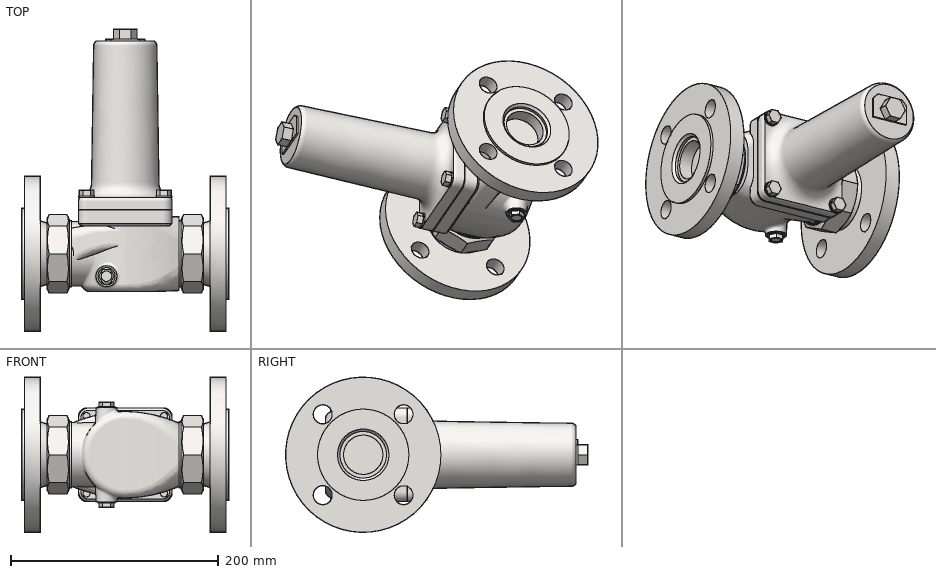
import cadquery as cq
import math


overall_length = 200.0
half_length = overall_length / 2
raised_face_thickness = 2.5
raised_face_diameter = 88.0
flange_diameter = 150.0
flange_thickness = 15.5
flange_outer_x = half_length - raised_face_thickness
flange_inner_x = flange_outer_x - flange_thickness
bolt_hole_diameter = 18.0
bolt_circle_diameter = 110.3
bolt_hole_count = 4
neck_radius_at_flange = 31.8
neck_radius_at_nut = 29.8
nut_outer_x = 75.3
nut_inner_x = 53.7
nut_sides = 8
nut_corner_radius = 38.0
nut_outer_chamfer = 1.8
nut_inner_chamfer = 2.5
nut_outer_end_radius = 34.5
nut_inner_end_radius = 32.7
bore_diameter = 38.0
bore_depth = 19.0
bore_step_diameter = 45.0
bore_step_depth = 2.5
bore_mouth_diameter = 49.5

pipe_radius = 31.2
collar_radius = 32.0
collar_width = 1.8
passage_end_x = nut_inner_x - collar_width
chamber_radius = 41.7
body_bottom_y = -36.5
chamber_edge_fillet = 7.3
chamber_root_fillet = 3.0
shoulder_sections = [
    (0, 1.5, 28.0, chamber_radius, 7.3),
    (-26.3, 0.5, 28.0, 38.5, 7.3),
    (-passage_end_x, -14.5, 24.8, 30.3, 11.7),
]
outlet_sections = [
    (0, body_bottom_y, 36.2, chamber_radius, chamber_edge_fillet),
    (26.3, body_bottom_y, 36.2, 38.8, 10.2),
    (passage_end_x, -35.5, 36.0, 30.5, 23.3),
]

plate_width = 90.5
plate_bottom_y = 26.8
plate_joint_y = 42.5
plate_top_y = 54.3
lower_corner_radius = 9.0
upper_corner_radius = 8.5
lower_plate_chamfer = 2.5
upper_chamfer_height = 3.0
upper_chamfer_inset = 1.0
joint_groove_width = 0.5
joint_groove_depth = 0.5

bolt_offset = 37.3
bolt_head_diameter = 14.3
bolt_head_sides = 6
bolt_head_height = 5.8
bolt_washer_diameter = 15.2
bolt_washer_height = 1.5
bolt_pocket_diameter = 6.7
bolt_pocket_depth = 1.5

housing_base_radius = 32.7
housing_top_radius = 30.5
housing_flare_radius = 13.7
housing_flare_y = plate_top_y + housing_flare_radius
housing_round_y = 200.7
housing_top_y = 205.5
housing_end_radius = 28.0
seal_plate_width = 38.0
seal_plate_bottom_z = -10.0
seal_plate_top_z = 15.0
seal_plate_chamfer = 5.3
seal_plate_thickness = 1.8
screw_diameter = 22.8
screw_sides = 6
screw_top_y = 216.8

boss_x = -18.0
boss_y = -21.5
boss_root_diameter = 24.5
boss_top_diameter = 20.0
boss_top_z = 45.5
boss_root_fillet = 3.0
plug_rim_diameter = 16.5
plug_rim_height = 1.2
plug_hex_diameter = 15.0
plug_sides = 6
plug_top_z = 50.8
plug_dimple_diameter = 10.2
plug_dimple_depth = 0.5


def y_plane(y):
    """Sketch plane at height y: local x is X, local y is Z, normal is -Y."""
    return cq.Workplane(cq.Plane(origin=(0, y, 0), xDir=(1, 0, 0), normal=(0, -1, 0)))


def x_plane(x):
    """Sketch plane at position x: local x is Y, local y is Z, normal is +X."""
    return cq.Workplane("YZ", origin=(x, 0, 0))


def turned_about_x(points):
    """Solid of revolution from (x, radius) points that start and end on the X axis."""
    return cq.Workplane("XY").polyline(points).close().revolve(360, (0, 0, 0), (1, 0, 0))


def union_nut():
    """Octagonal nut with its corners turned off at both ends."""
    prism = (
        x_plane(nut_inner_x)
        .polygon(nut_sides, 2 * nut_corner_radius)
        .extrude(nut_outer_x - nut_inner_x)
    )
    envelope = turned_about_x([
        (nut_inner_x, 0),
        (nut_inner_x, nut_inner_end_radius),
        (nut_inner_x + nut_inner_chamfer, nut_corner_radius),
        (nut_outer_x - nut_outer_chamfer, nut_corner_radius),
        (nut_outer_x, nut_outer_end_radius),
        (nut_outer_x, 0),
    ])
    return prism.intersect(envelope)


def end_connection():
    """Flange, neck, nut and blind bore on the +X side."""
    flange = turned_about_x([
        (nut_inner_x, 0),
        (nut_inner_x, neck_radius_at_nut),
        (nut_outer_x, neck_radius_at_nut),
        (flange_inner_x, neck_radius_at_flange),
        (flange_inner_x, flange_diameter / 2),
        (flange_outer_x, flange_diameter / 2),
        (flange_outer_x, raised_face_diameter / 2),
        (half_length, raised_face_diameter / 2),
        (half_length, 0),
    ])
    bolt_holes = (
        x_plane(flange_inner_x)
        .polarArray(bolt_circle_diameter / 2, 180 / bolt_hole_count, 360, bolt_hole_count)
        .circle(bolt_hole_diameter / 2)
        .extrude(flange_thickness)
    )
    bore = turned_about_x([
        (half_length, 0),
        (half_length, bore_mouth_diameter / 2),
        (half_length - bore_step_depth, bore_step_diameter / 2),
        (half_length - 2 * bore_step_depth, bore_step_diameter / 2),
        (half_length - 2 * bore_step_depth, bore_diameter / 2),
        (half_length - bore_depth, bore_diameter / 2),
        (half_length - bore_depth, 0),
    ])
    collar = x_plane(passage_end_x).circle(collar_radius).extrude(collar_width)
    return flange.cut(bolt_holes).union(union_nut()).union(collar).cut(bore)


def passage_section(x, low_y, high_y, half_width, corner):
    """Rounded rectangle across the pipe axis at position x."""
    mid_y = (low_y + high_y) / 2
    outline = cq.Sketch().rect(high_y - low_y, 2 * half_width).vertices().fillet(corner)
    return outline.moved(cq.Location(cq.Vector(mid_y, 0, x)))


def passage(sections):
    """Smooth loft along X through (x, low y, high y, half width, corner radius) sections."""
    outlines = [passage_section(*section) for section in sections]
    return cq.Workplane("YZ").placeSketch(*outlines).loft()


def valve_body():
    """Half-round chamber, inlet pipe with its raised shoulder, and outlet passage."""
    chamber = (
        y_plane(body_bottom_y)
        .circle(chamber_radius)
        .extrude(body_bottom_y - plate_bottom_y)
        .faces("<Y").edges().fillet(chamber_edge_fillet)
    )
    inlet_half = x_plane(-chamber_radius).rect(flange_diameter, flange_diameter).extrude(chamber_radius)
    half_chamber = chamber.intersect(inlet_half)
    pipe = x_plane(-passage_end_x).circle(pipe_radius).extrude(passage_end_x)
    shoulder = passage(shoulder_sections)
    outlet = passage(outlet_sections)
    body = half_chamber.union(pipe).union(shoulder).union(outlet)

    root_edges = cq.selectors.BoxSelector(
        (-chamber_radius, body_bottom_y, -pipe_radius),
        (-pipe_radius, -pipe_radius / 2, pipe_radius),
    )
    return body.edges(root_edges).fillet(chamber_root_fillet)


def bolt_centres(y):
    """The four cover bolt positions at height y."""
    return y_plane(y).rect(2 * bolt_offset, 2 * bolt_offset, forConstruction=True).vertices()


def bonnet_plates():
    """Two square plates clamped on each other, with bolt pockets below."""
    lower = (
        y_plane(plate_bottom_y)
        .rect(plate_width, plate_width)
        .extrude(plate_bottom_y - plate_joint_y)
        .edges("|Y").fillet(lower_corner_radius)
        .faces("<Y").chamfer(lower_plate_chamfer)
    )
    upper = (
        y_plane(plate_joint_y)
        .rect(plate_width, plate_width)
        .extrude(plate_joint_y - plate_top_y)
        .edges("|Y").fillet(upper_corner_radius)
        .faces(">Y").chamfer(upper_chamfer_height, upper_chamfer_inset)
    )
    pockets = (
        bolt_centres(plate_bottom_y)
        .circle(bolt_pocket_diameter / 2)
        .extrude(-bolt_pocket_depth)
    )
    core_width = plate_width - 2 * joint_groove_depth
    groove_plane = y_plane(plate_joint_y - joint_groove_width / 2)
    core = (
        groove_plane.rect(core_width, core_width)
        .extrude(-joint_groove_width)
        .edges("|Y").fillet(lower_corner_radius - joint_groove_depth)
    )
    joint_groove = groove_plane.rect(plate_width, plate_width).extrude(-joint_groove_width).cut(core)
    return lower.cut(pockets).union(upper).cut(joint_groove)


def cover_bolts():
    """Four hexagon heads with washers on the upper plate."""
    washers = (
        bolt_centres(plate_top_y)
        .circle(bolt_washer_diameter / 2)
        .extrude(-bolt_washer_height)
    )
    heads = (
        bolt_centres(plate_top_y)
        .polygon(bolt_head_sides, bolt_head_diameter)
        .extrude(-bolt_washer_height - bolt_head_height)
    )
    return washers.union(heads)


def spring_housing():
    """Tapered housing flared into the upper plate."""
    flare_mid = housing_flare_radius * (1 - math.sqrt(0.5))
    profile = (
        cq.Workplane("XY")
        .moveTo(0, plate_joint_y)
        .lineTo(housing_base_radius + housing_flare_radius, plate_joint_y)
        .lineTo(housing_base_radius + housing_flare_radius, plate_top_y)
        .threePointArc(
            (housing_base_radius + flare_mid, plate_top_y + flare_mid),
            (housing_base_radius, housing_flare_y),
        )
        .lineTo(housing_top_radius, housing_round_y)
        .tangentArcPoint((housing_end_radius, housing_top_y), relative=False)
        .lineTo(0, housing_top_y)
        .close()
    )
    housing = profile.revolve(360, (0, 0, 0), (0, 1, 0))
    clip_width = plate_width - 2 * upper_chamfer_inset
    clip = y_plane(plate_joint_y).rect(clip_width, clip_width).extrude(plate_joint_y - screw_top_y)
    return housing.intersect(clip)


def adjusting_screw():
    """Seal plate and hexagon screw head on the end of the housing."""
    seal_plate = (
        y_plane(housing_top_y)
        .center(0, (seal_plate_top_z + seal_plate_bottom_z) / 2)
        .rect(seal_plate_width, seal_plate_top_z - seal_plate_bottom_z)
        .extrude(-seal_plate_thickness)
        .edges("|Y and >Z").chamfer(seal_plate_chamfer)
    )
    head = y_plane(housing_top_y).polygon(screw_sides, screw_diameter).extrude(housing_top_y - screw_top_y)
    return seal_plate.union(head)


def test_plug():
    """Boss with a hexagon plug on the +Z side of the chamber."""
    base = cq.Workplane("XY").center(boss_x, boss_y)
    boss = (
        base.circle(boss_root_diameter / 2)
        .workplane(offset=boss_top_z)
        .circle(boss_top_diameter / 2)
        .loft()
    )
    rim = base.circle(plug_rim_diameter / 2).extrude(boss_top_z + plug_rim_height)
    head = base.polygon(plug_sides, plug_hex_diameter).extrude(plug_top_z)
    dimple = (
        base.workplane(offset=plug_top_z - plug_dimple_depth)
        .circle(plug_dimple_diameter / 2).extrude(plug_dimple_depth)
    )
    return boss.union(rim).union(head).cut(dimple)


def add_test_plug(body, side):
    """Join a test plug on the +Z (side = 1) or -Z (side = -1) face and round the root of its boss."""
    plug = test_plug()
    if side < 0:
        plug = plug.mirror("XY")
    joined = body.union(plug)

    boss_radius = boss_root_diameter / 2
    root_edges = cq.selectors.BoxSelector(
        (boss_x - boss_radius / 2, boss_y - boss_radius, side * (boss_top_z - boss_radius)),
        (boss_x + boss_top_diameter / 2, boss_y + boss_radius / 2, side * chamber_radius),
    )
    return joined.edges(root_edges).fillet(boss_root_fillet)


body = valve_body()
for side in (1, -1):
    body = add_test_plug(body, side)

connection = end_connection()
result = (
    body
    .union(bonnet_plates())
    .union(cover_bolts())
    .union(spring_housing())
    .union(adjusting_screw())
    .union(connection)
    .union(connection.mirror("YZ"))
)